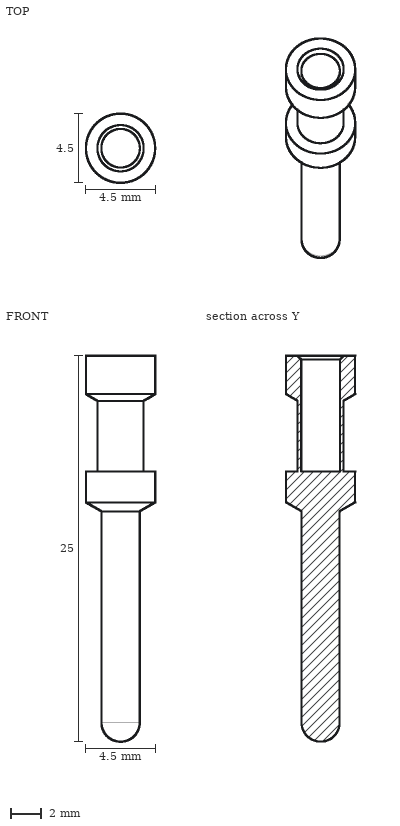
import cadquery as cq
import math

total_length = 25.0
pin_radius = 1.25
neck_radius = 1.5
head_radius = 2.25

head_bottom = 22.5
collar_top = 17.5
collar_bottom = 15.5
shoulder_angle = 30.0

bore_radius = 1.25
bore_mouth_radius = 1.5
bore_depth = 7.5


def cone_height(inner_radius):
    """Height of the conical underside running from head_radius to inner_radius."""
    return (head_radius - inner_radius) * math.tan(math.radians(shoulder_angle))


def make_pin():
    """Revolve the solid outer profile, with a hemispherical tip."""
    arc_offset = pin_radius * math.sqrt(0.5)
    profile = (
        cq.Workplane("XZ")
        .moveTo(0, 0)
        .threePointArc((arc_offset, pin_radius - arc_offset), (pin_radius, pin_radius))
        .lineTo(pin_radius, collar_bottom - cone_height(pin_radius))
        .lineTo(head_radius, collar_bottom)
        .lineTo(head_radius, collar_top)
        .lineTo(neck_radius, collar_top)
        .lineTo(neck_radius, head_bottom - cone_height(neck_radius))
        .lineTo(head_radius, head_bottom)
        .lineTo(head_radius, total_length)
        .lineTo(0, total_length)
        .close()
    )
    return profile.revolve(360, (0, 0), (0, 1))


def make_socket():
    """Blind bore with a 45 degree countersunk mouth."""
    mouth_depth = bore_mouth_radius - bore_radius
    profile = (
        cq.Workplane("XZ")
        .moveTo(0, total_length - bore_depth)
        .lineTo(bore_radius, total_length - bore_depth)
        .lineTo(bore_radius, total_length - mouth_depth)
        .lineTo(bore_mouth_radius, total_length)
        .lineTo(0, total_length)
        .close()
    )
    return profile.revolve(360, (0, 0), (0, 1))


result = make_pin().cut(make_socket())